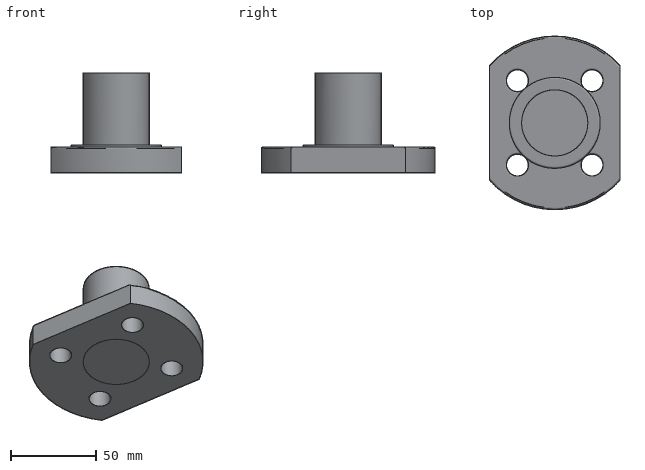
import cadquery as cq

flange_diameter = 101.6
flange_width = 76.4
flange_thickness = 15.1
collar_diameter = 53.2
collar_height = 1.2
shaft_diameter = 38.7
total_height = 58.4
bolt_diameter = 12.7
bolt_spacing_x = 43.7
bolt_spacing_y = 49.4
edge_radius = 1.0


def make_shaft():
    """Plain cylinder passing through the collar and the flange."""
    return cq.Workplane("XY").circle(shaft_diameter / 2).extrude(total_height)


def make_flange():
    """Round plate with two flats, four bolt holes and a bore for the shaft."""
    disc = cq.Workplane("XY").circle(flange_diameter / 2).extrude(flange_thickness)
    disc = disc.faces(">Z").edges().fillet(edge_radius)
    flats = cq.Workplane("XY").rect(flange_width, flange_diameter).extrude(flange_thickness)
    plate = disc.intersect(flats)

    bolt_holes = (
        cq.Workplane("XY")
        .rect(bolt_spacing_x, bolt_spacing_y, forConstruction=True)
        .vertices()
        .circle(bolt_diameter / 2)
        .extrude(flange_thickness)
    )
    plate = plate.cut(bolt_holes)
    smallest_circles = cq.selectors.RadiusNthSelector(0)
    plate = plate.faces(">Z").edges("%CIRCLE").edges(smallest_circles).fillet(edge_radius)

    return plate.cut(make_shaft())


def make_collar():
    """Thin ring around the shaft, resting on the flange."""
    seat = cq.Workplane("XY").workplane(offset=flange_thickness)
    disc = seat.circle(collar_diameter / 2).extrude(collar_height)
    disc = disc.faces(">Z").edges().fillet(edge_radius)
    return disc.cut(make_shaft())


flange = make_flange()
collar = make_collar()
shaft = make_shaft()

result = cq.Compound.makeCompound([flange.solids().val(), collar.solids().val(), shaft.val()])